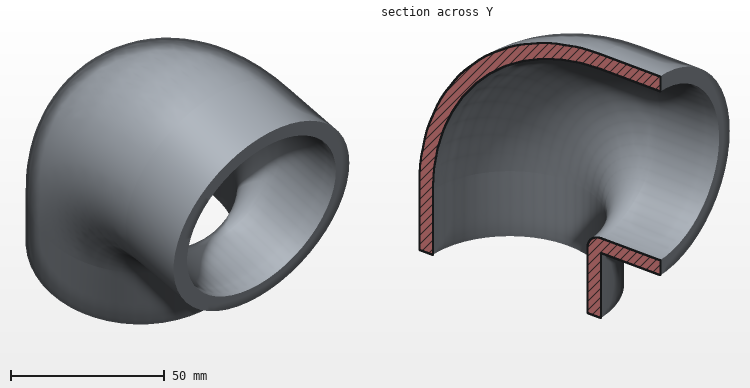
import cadquery as cq

overall_length = 98.75
outer_diameter = 74.5
bore_diameter = 63.0

bend_radius = outer_diameter / 2
collar_length = overall_length - outer_diameter


def swept_elbow(diameter):
    """Solid 90 degree elbow: lower collar along Z, quarter bend, side collar along X.

    The bend axis is parallel to Y and passes through the origin.
    """
    radius = diameter / 2
    lower_collar = (
        cq.Workplane("XY")
        .center(-bend_radius, 0)
        .circle(radius)
        .extrude(-collar_length)
    )
    side_collar = (
        cq.Workplane("YZ")
        .center(0, bend_radius)
        .circle(radius)
        .extrude(collar_length)
    )
    bend = (
        cq.Workplane("XY")
        .center(-bend_radius, 0)
        .circle(radius)
        .revolve(90, (bend_radius, 0, 0), (bend_radius, 1, 0))
    )
    return lower_collar.union(bend).union(side_collar)


result = swept_elbow(outer_diameter).cut(swept_elbow(bore_diameter))